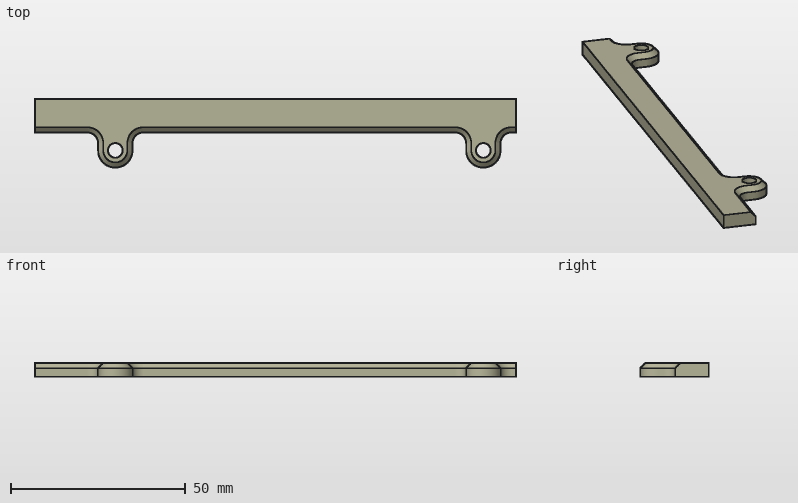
import cadquery as cq

length = 137.8
bar_depth = 9.6
thickness = 4.0

overall_depth = 19.7
ear_radius = 5.0
ear_positions = (23.0, 128.4)
hole_diameter = 4.1
root_fillet = 3.0
edge_chamfer = 1.5

bar_front = overall_depth - bar_depth
ear_center_y = ear_radius


def plan_outline():
    """Closed plan outline with the filleted ears built into the front edge."""
    fillet_mid = root_fillet * 0.5 ** 0.5
    fillet_y = bar_front - root_fillet
    outline = cq.Workplane("XY").moveTo(0, bar_front)
    for x in ear_positions:
        left = x - ear_radius
        right = x + ear_radius
        left_fillet_x = left - root_fillet
        right_fillet_x = right + root_fillet
        outline = (
            outline.lineTo(left_fillet_x, bar_front)
            .threePointArc((left_fillet_x + fillet_mid, fillet_y + fillet_mid), (left, fillet_y))
            .lineTo(left, ear_center_y)
            .threePointArc((x, 0), (right, ear_center_y))
            .lineTo(right, fillet_y)
            .threePointArc((right_fillet_x - fillet_mid, fillet_y + fillet_mid), (right_fillet_x, bar_front))
        )
    return outline.lineTo(length, bar_front).lineTo(length, overall_depth).lineTo(0, overall_depth).close()


body = plan_outline().extrude(thickness)

upper_front_edges = body.faces(">Z").edges("not(>X or <X or >Y)")
body = upper_front_edges.chamfer(edge_chamfer)

hole_centers = [(x, ear_center_y) for x in ear_positions]
holes = cq.Workplane("XY").pushPoints(hole_centers).circle(hole_diameter / 2).extrude(thickness)
result = body.cut(holes)